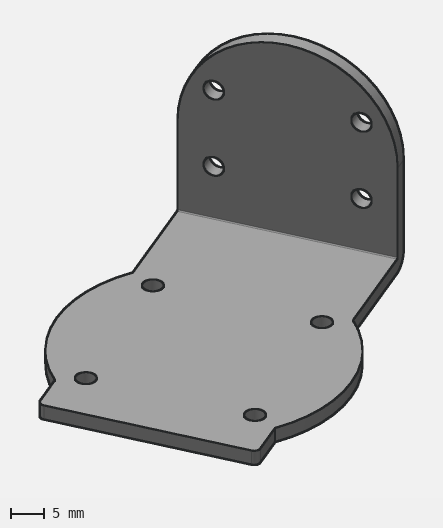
import cadquery as cq

length = 58.5
height = 36.0
width = 35.0
thickness = 2.5
bend_inner_radius = 0.2
bend_outer_radius = bend_inner_radius + thickness
corner_radius = 1.0

disc_diameter = 46.85
front_to_disc_centre = 22.5
front_y = -front_to_disc_centre
back_y = front_y + length

hole_diameter = 3.2
base_hole_spacing = 26.85
wall_hole_spacing_x = 23.45
wall_hole_spacing_z = 13.45
wall_lower_hole_z = 11.7
wall_hole_centre_z = wall_lower_hole_z + wall_hole_spacing_z / 2


def front_outline():
    """Block with a full half circle on top, which rounds the wall."""
    arc_centre_z = height - width / 2
    return (
        cq.Workplane("XZ", origin=(0, back_y, 0))
        .moveTo(-width / 2, 0)
        .lineTo(width / 2, 0)
        .lineTo(width / 2, arc_centre_z)
        .threePointArc((0, height), (-width / 2, arc_centre_z))
        .close()
        .extrude(length)
    )


def bent_strip():
    """L-shaped strip of constant width with a rounded bend."""
    strip = (
        cq.Workplane("YZ")
        .moveTo(front_y, 0)
        .lineTo(back_y, 0)
        .lineTo(back_y, height)
        .lineTo(back_y - thickness, height)
        .lineTo(back_y - thickness, thickness)
        .lineTo(front_y, thickness)
        .close()
        .extrude(width / 2, both=True)
    )
    strip = strip.edges("|X and >Y and <Z").fillet(bend_outer_radius)
    inner_bend = cq.selectors.NearestToPointSelector((0, back_y - thickness, thickness))
    strip = strip.edges(inner_bend).fillet(bend_inner_radius)
    strip = strip.edges("|Z and <Y").fillet(corner_radius)
    return strip.intersect(front_outline())


def base_lobes():
    """Disc cut off ahead of the strip, so it shows only as lobes at the sides."""
    disc = cq.Workplane("XY").circle(disc_diameter / 2).extrude(thickness)
    side_band = cq.Workplane("XY").rect(disc_diameter, width).extrude(thickness)
    return disc.intersect(side_band)


def base_holes():
    return (
        cq.Workplane("XY")
        .rarray(base_hole_spacing, base_hole_spacing, 2, 2)
        .circle(hole_diameter / 2)
        .extrude(thickness)
    )


def wall_holes():
    return (
        cq.Workplane("XZ", origin=(0, back_y, wall_hole_centre_z))
        .rarray(wall_hole_spacing_x, wall_hole_spacing_z, 2, 2)
        .circle(hole_diameter / 2)
        .extrude(thickness)
    )


result = bent_strip().union(base_lobes()).cut(base_holes()).cut(wall_holes())